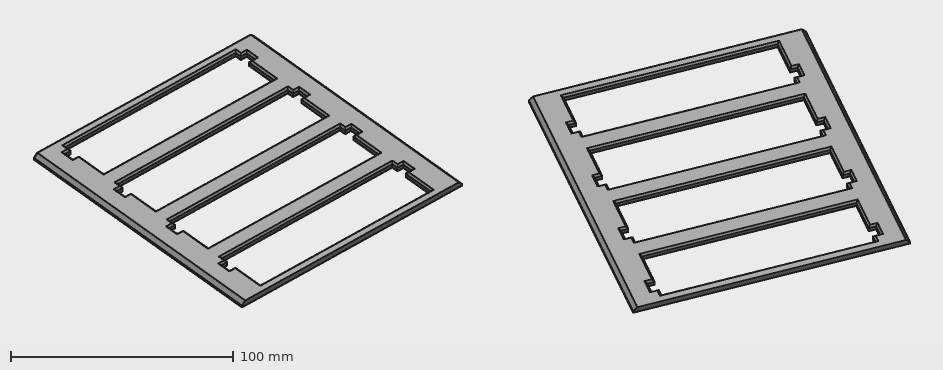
import cadquery as cq

plate_length = 141.3
plate_width = 132.0
plate_thickness = 3.0
plate_bevel = 2.0

window_count = 4
window_pitch = 35.5
window_length = 26.0
window_width = 102.0
window_chamfer = 1.0

notch_length = 5.5
notch_depth = 3.5
notch_inset = 3.5


def make_plate():
    """Flat plate with its two long upper edges bevelled at 45 degrees."""
    plate = cq.Workplane("XY").box(
        plate_length, plate_width, plate_thickness, centered=(True, True, False)
    )
    return plate.faces(">Z").edges("|X").chamfer(plate_bevel)


def flared_block(length, width, center_x):
    """Block through the plate whose upper rim widens by the window chamfer."""
    straight = (
        cq.Workplane("XY", origin=(center_x, 0, 0))
        .rect(length, width)
        .extrude(plate_thickness)
    )
    flare = (
        cq.Workplane("XY", origin=(center_x, 0, plate_thickness - window_chamfer))
        .rect(length, width)
        .workplane(offset=window_chamfer)
        .rect(length + 2 * window_chamfer, width + 2 * window_chamfer)
        .loft(ruled=True)
    )
    return straight.union(flare)


def make_window_cutter():
    """Shape removed for one window: the opening and the notch at each of its ends."""
    notch_x = -window_length / 2 + notch_inset + notch_length / 2
    opening = flared_block(window_length, window_width, 0)
    notches = flared_block(notch_length, window_width + 2 * notch_depth, notch_x)
    return opening.union(notches)


result = make_plate()
window_cutter = make_window_cutter()
for index in range(window_count):
    window_x = (index - (window_count - 1) / 2) * window_pitch
    result = result.cut(window_cutter.translate((window_x, 0, 0)))